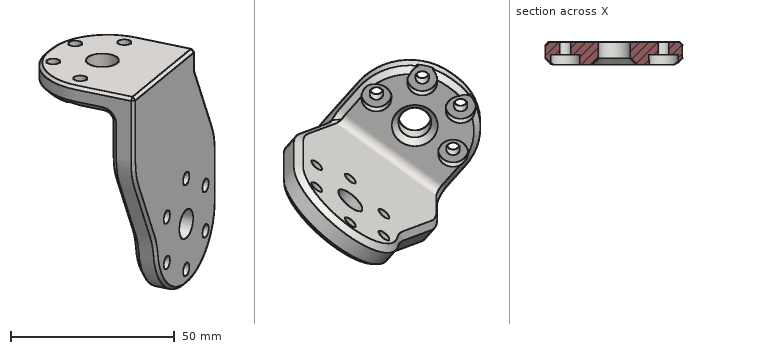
import cadquery as cq
import math


plate_length = 40.0
plate_width = 42.0
plate_thickness = 7.0
plate_corner_radius = 20.0

part_height = 76.74
part_width = 56.12
wall_thickness = 8.0
wall_end_radius = 20.5
wall_bend_radius = 20.0
wall_lean = math.radians(27.2)
near_side_drop = 26.45

outer_chamfer = 1.0
inner_chamfer = 2.0
inner_fillet = 3.0

screw_diameter = 4.2
plate_hole_offset = 18.6
plate_hole_y = 0.17
plate_screw_count = 4
plate_bolt_radius = 15.0
plate_bore_diameter = 10.0
plate_bore_flare = 2.0
screw_head_diameter = 9.2
screw_head_depth = 3.0
wall_bolt_radius = 15.2
wall_bore_diameter = 9.4
bolt_spacing = 60

side_y = plate_width / 2
wall_far_y = part_width - side_y
wall_end_y = wall_far_y - wall_end_radius
wall_end_z = wall_end_radius - part_height
fillet_x = -wall_thickness - inner_fillet
fillet_z = -plate_thickness - inner_fillet
plate_hole_x = plate_hole_offset - plate_length


def move_along_lean(start, distance):
    """Point reached from start by going down along the leaning sides of the wall."""
    y, z = start
    return (y + distance * math.sin(wall_lean), z - distance * math.cos(wall_lean))


def on_circle(center, radius, angle):
    """Point on a circle in the YZ plane, with the angle counted from +Y towards +Z."""
    return (center[0] + radius * math.cos(angle), center[1] + radius * math.sin(angle))


def make_plate():
    plate = cq.Workplane("XY").rect(plate_length, plate_width).extrude(-plate_thickness)
    plate = plate.translate((-plate_length / 2, 0, 0))
    return plate.edges("|Z and <X").fillet(plate_corner_radius)


def make_wall():
    bend_length = wall_bend_radius * math.tan(wall_lean / 2)

    far_lean_start = (side_y, -plate_thickness)
    far_lean_length = (wall_far_y - side_y) / math.sin(wall_lean)
    far_bend_start = move_along_lean(far_lean_start, far_lean_length - bend_length)
    far_corner = move_along_lean(far_lean_start, far_lean_length)
    far_bend_end = (wall_far_y, far_corner[1] - bend_length)
    far_bend_center = (wall_far_y - wall_bend_radius, far_bend_end[1])
    far_bend_mid = on_circle(far_bend_center, wall_bend_radius, wall_lean / 2)

    near_corner = (-side_y, -near_side_drop)
    near_bend_start = (-side_y, near_corner[1] + bend_length)
    near_bend_center = (wall_bend_radius - side_y, near_bend_start[1])
    near_bend_mid = on_circle(near_bend_center, wall_bend_radius, math.pi + wall_lean / 2)
    near_bend_end = move_along_lean(near_corner, bend_length)

    end_center = (wall_end_y, wall_end_z)
    end_to_side = (
        (end_center[0] - near_corner[0]) * math.cos(wall_lean)
        + (end_center[1] - near_corner[1]) * math.sin(wall_lean)
    )
    center_distance = wall_end_radius + wall_bend_radius
    hollow_sweep = math.acos((end_to_side + wall_bend_radius) / center_distance)
    touch_angle = wall_lean - hollow_sweep
    hollow_center = on_circle(end_center, center_distance, math.pi + touch_angle)
    hollow_end = on_circle(hollow_center, wall_bend_radius, touch_angle)
    hollow_mid = on_circle(hollow_center, wall_bend_radius, wall_lean - hollow_sweep / 2)
    hollow_start = on_circle(hollow_center, wall_bend_radius, wall_lean)

    outline = (
        cq.Workplane("YZ")
        .moveTo(-side_y, 0)
        .lineTo(side_y, 0)
        .lineTo(*far_lean_start)
        .lineTo(*far_bend_start)
        .threePointArc(far_bend_mid, far_bend_end)
        .lineTo(wall_far_y, wall_end_z)
        .threePointArc((wall_end_y, -part_height), hollow_end)
        .threePointArc(hollow_mid, hollow_start)
        .lineTo(*near_bend_end)
        .threePointArc(near_bend_mid, near_bend_start)
        .close()
    )
    return outline.extrude(-wall_thickness)


def make_body(plate, wall):
    """Plate and wall joined, with the inner corner rounded and the outer edges broken."""
    body = plate.union(wall)
    inner_corner = cq.selectors.NearestToPointSelector((-wall_thickness, 0, -plate_thickness))
    body = body.edges(inner_corner).fillet(inner_fillet)
    return body.faces(">Z or >X").edges().chamfer(outer_chamfer)


def underside_chamfer_cutter(plate):
    """Chamfer round the underside of the plate, as far back as the inner fillet."""
    layer = cq.Workplane("XY").box(
        plate_length + fillet_x, plate_width, inner_chamfer, centered=(False, True, False)
    )
    layer = layer.translate((-plate_length, 0, -plate_thickness))
    return layer.cut(plate.faces("<Z").chamfer(inner_chamfer))


def wall_chamfer_cutter(wall):
    """Chamfer round the inner face of the wall, as far up as the inner fillet."""
    layer = cq.Workplane("XY").box(
        inner_chamfer, part_width, part_height + fillet_z, centered=False
    )
    layer = layer.translate((-wall_thickness, -side_y, -part_height))
    return layer.cut(wall.faces("<X").chamfer(inner_chamfer))


def corner_cone(direction):
    """Cone about the fillet axis that widens through the side plane, towards +Y (1) or -Y (-1)."""
    wide_radius = inner_fillet + 2 * inner_chamfer
    cone_length = 2 * inner_chamfer
    cone = cq.Solid.makeCone(
        inner_fillet,
        wide_radius,
        cone_length,
        cq.Vector(0, -direction * inner_chamfer, 0),
        cq.Vector(0, direction, 0),
    )
    quadrant = cq.Solid.makeBox(wide_radius, 2 * cone_length, wide_radius)
    return cone.intersect(quadrant.translate(cq.Vector(0, -cone_length, 0)))


def near_corner_cutter():
    return corner_cone(-1).translate(cq.Vector(fillet_x, -side_y, fillet_z))


def far_corner_cutter():
    """Chamfer on the +Y end of the fillet, where the side turns from upright to leaning."""
    upright = corner_cone(1).translate(cq.Vector(fillet_x, side_y, fillet_z))
    lean_slope = math.tan(wall_lean)
    skew = cq.Matrix([
        [1, 0, 0, fillet_x],
        [0, 1 / math.cos(wall_lean), -lean_slope, side_y + inner_fillet * lean_slope],
        [0, 0, 1, fillet_z],
    ])
    leaning = corner_cone(1).transformGeometry(skew)
    return upright.intersect(leaning)


def cut_plate_holes(body):
    """Bore with a flared lower end, and four screw holes with head recesses underneath."""
    top = cq.Workplane("XY").center(plate_hole_x, plate_hole_y)
    body = body.cut(top.circle(plate_bore_diameter / 2).extrude(-plate_thickness))
    flare = cq.Solid.makeCone(
        plate_bore_diameter / 2 + plate_bore_flare,
        plate_bore_diameter / 2,
        plate_bore_flare,
        cq.Vector(plate_hole_x, plate_hole_y, -plate_thickness),
    )
    body = body.cut(cq.Workplane(flare))
    for step in range(plate_screw_count):
        angle = math.radians(90 + step * bolt_spacing)
        x = plate_bolt_radius * math.cos(angle)
        y = plate_bolt_radius * math.sin(angle)
        spot = top.center(x, y)
        body = body.cut(spot.circle(screw_diameter / 2).extrude(-plate_thickness))
        recess = spot.workplane(offset=-plate_thickness).circle(screw_head_diameter / 2)
        body = body.cut(recess.extrude(screw_head_depth))
    return body


def cut_wall_holes(body):
    """Bore and a full ring of six screw holes straight through the wall, centred on its round end."""
    center = cq.Workplane("YZ").center(wall_end_y, wall_end_z)
    bore = center.circle(wall_bore_diameter / 2).extrude(-wall_thickness)
    screws = (
        center.polarArray(wall_bolt_radius, 90, 360, 360 // bolt_spacing)
        .circle(screw_diameter / 2)
        .extrude(-wall_thickness)
    )
    return body.cut(bore).cut(screws)


def make_part():
    plate = make_plate()
    wall = make_wall()
    body = make_body(plate, wall)
    body = body.cut(underside_chamfer_cutter(plate)).cut(wall_chamfer_cutter(wall))
    body = body.cut(cq.Workplane(near_corner_cutter())).cut(cq.Workplane(far_corner_cutter()))
    return cut_wall_holes(cut_plate_holes(body))


result = make_part()